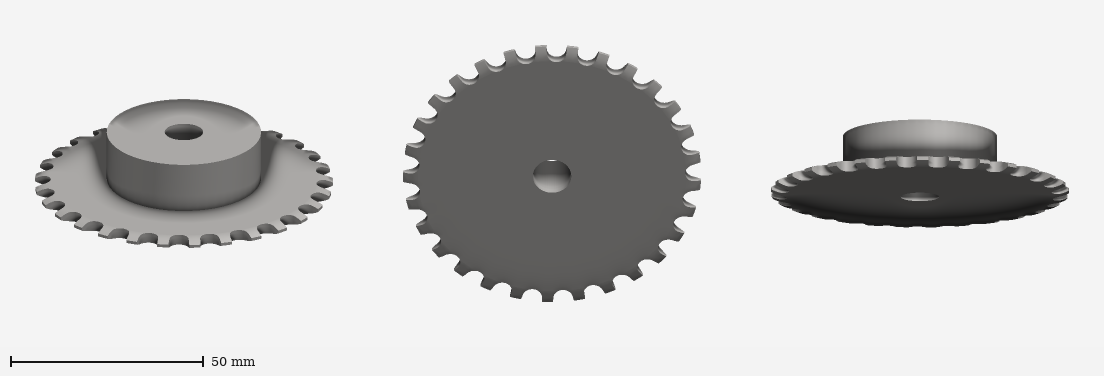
import cadquery as cq
import math

tooth_count = 29
tip_radius = 38.65
plate_thickness = 2.8
total_height = 16.0
hub_diameter = 40.0
bore_diameter = 10.0
pitch_diameter = 74.05
seat_diameter = 5.0
flank_flare_angle = 7.0
side_relief_width = 3.9
side_relief_radius = 8.0
first_gap_angle = -90
cut_overshoot = 0.8

tooth_angle = 360 / tooth_count
pitch_radius = pitch_diameter / 2
seat_radius = seat_diameter / 2
relief_start_radius = tip_radius - side_relief_width


def relief_drop(radial_distance):
    """Axial drop of the tooth side at a distance outside the flat face."""
    return side_relief_radius - math.sqrt(side_relief_radius**2 - radial_distance**2)


def toothed_blank():
    """Disc whose rim curves inward, tangent to both flat faces, toward a narrow tip."""
    middle_radius = tip_radius - side_relief_width / 2
    middle_drop = relief_drop(side_relief_width / 2)
    tip_drop = relief_drop(side_relief_width)
    return (
        cq.Workplane("XZ")
        .lineTo(relief_start_radius, 0)
        .threePointArc((middle_radius, middle_drop), (tip_radius, tip_drop))
        .lineTo(tip_radius, plate_thickness - tip_drop)
        .threePointArc(
            (middle_radius, plate_thickness - middle_drop),
            (relief_start_radius, plate_thickness),
        )
        .lineTo(0, plate_thickness)
        .close()
        .revolve(360, (0, 0, 0), (0, 1, 0))
    )


def tooth_gap(angle):
    """Cutter for one gap: a round seat whose straight flanks leave it tangentially and flare outward."""
    flare = math.radians(flank_flare_angle)
    outer_radius = tip_radius + cut_overshoot
    flank_start = pitch_radius - seat_radius * math.sin(flare)
    flank_start_half = seat_radius * math.cos(flare)
    mouth_half = flank_start_half + (outer_radius - flank_start) * math.tan(flare)
    return (
        cq.Workplane("XY")
        .moveTo(flank_start, -flank_start_half)
        .threePointArc((pitch_radius - seat_radius, 0), (flank_start, flank_start_half))
        .lineTo(outer_radius, mouth_half)
        .lineTo(outer_radius, -mouth_half)
        .close()
        .extrude(plate_thickness)
        .rotate((0, 0, 0), (0, 0, 1), angle)
    )


plate = toothed_blank()
for index in range(tooth_count):
    plate = plate.cut(tooth_gap(first_gap_angle + index * tooth_angle))

hub = cq.Workplane("XY").circle(hub_diameter / 2).extrude(total_height)
bore = cq.Workplane("XY").circle(bore_diameter / 2).extrude(total_height)

result = plate.union(hub).cut(bore)